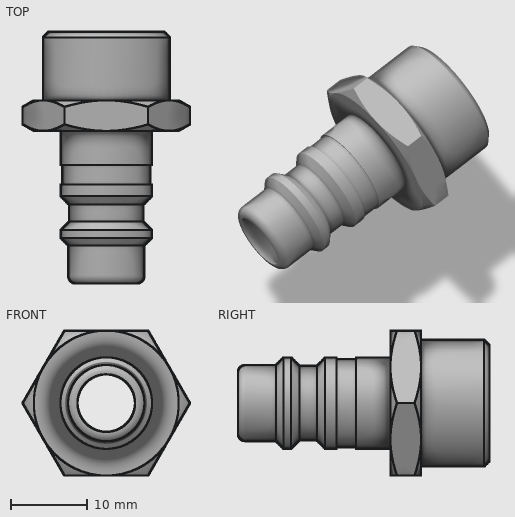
import cadquery as cq
import math


total_length = 33.0
nose_end = 5.0
ridge_crest_start = 6.0
ridge_crest_end = 7.0
groove_start = 8.1
groove_end = 10.35
shoulder_start = 11.45
recess_start = 12.95
recess_end = 15.5
hex_start = 20.0
hex_end = 24.0

bore_radius = 3.75
nose_radius = 5.0
groove_radius = 4.9
recess_radius = 5.8
stem_radius = 6.0
connection_radius = 16.66 / 2

nose_rounding = 1.0
connection_chamfer = 0.75

hex_across_flats = 19.0
hex_corner_half_step = 30.0
hex_chamfer_angle = 30.0


def make_turned_body():
    """Revolve the stepped outer profile, (radius, station), about the Y axis."""
    arc_inset = nose_rounding * (1 - math.sqrt(0.5))
    return (
        cq.Workplane("XY")
        .moveTo(0, 0)
        .lineTo(nose_radius - nose_rounding, 0)
        .threePointArc((nose_radius - arc_inset, arc_inset), (nose_radius, nose_rounding))
        .lineTo(nose_radius, nose_end)
        .lineTo(stem_radius, ridge_crest_start)
        .lineTo(stem_radius, ridge_crest_end)
        .lineTo(groove_radius, groove_start)
        .lineTo(groove_radius, groove_end)
        .lineTo(stem_radius, shoulder_start)
        .lineTo(stem_radius, recess_start)
        .lineTo(recess_radius, recess_start)
        .lineTo(recess_radius, recess_end)
        .lineTo(stem_radius, recess_end)
        .lineTo(stem_radius, hex_end)
        .lineTo(connection_radius, hex_end)
        .lineTo(connection_radius, total_length - connection_chamfer)
        .lineTo(connection_radius - connection_chamfer, total_length)
        .lineTo(0, total_length)
        .close()
        .revolve(360, (0, 0, 0), (0, 1, 0))
    )


def make_hex_collar():
    """Hexagon with corners on the X axis, its corners turned to a cone on both faces."""
    flat_radius = hex_across_flats / 2
    corner_radius = flat_radius / math.cos(math.radians(hex_corner_half_step))
    chamfer_depth = (corner_radius - flat_radius) * math.tan(math.radians(hex_chamfer_angle))
    prism = (
        cq.Workplane("XZ", origin=(0, hex_start, 0))
        .polygon(6, 2 * corner_radius)
        .extrude(hex_start - hex_end)
    )
    corner_envelope = (
        cq.Workplane("XY")
        .moveTo(0, hex_start)
        .lineTo(flat_radius, hex_start)
        .lineTo(corner_radius, hex_start + chamfer_depth)
        .lineTo(corner_radius, hex_end - chamfer_depth)
        .lineTo(flat_radius, hex_end)
        .lineTo(0, hex_end)
        .close()
        .revolve(360, (0, 0, 0), (0, 1, 0))
    )
    return prism.intersect(corner_envelope)


def make_bore():
    """Straight bore through the whole length."""
    return cq.Workplane("XZ").circle(bore_radius).extrude(-total_length)


result = make_turned_body().union(make_hex_collar()).cut(make_bore())